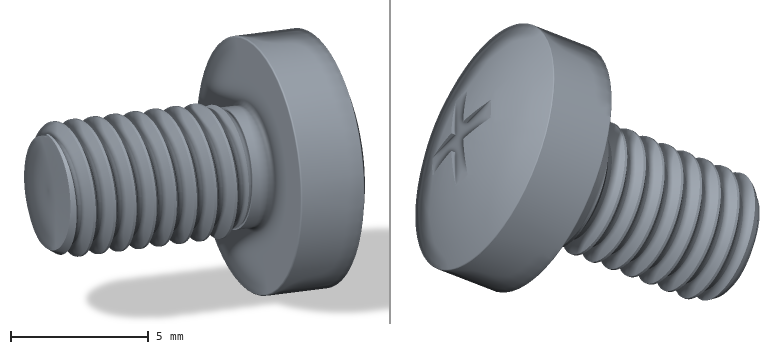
import cadquery as cq
import math

total_length = 11.66
shank_length = 8.0

head_radius = 9.5 / 2
head_height = total_length - shank_length
head_side_height = 2.5
head_edge_radius = 0.06

recess_width = 0.82
recess_depth = 0.19

neck_radius = 2.24
neck_length = 0.82
neck_fillet = 0.17

pitch = shank_length / 10
major_radius = 2.5
root_radius = 2.03
crest_width = pitch / 8
flank_slope = math.tan(math.radians(30))
crest_above_tip = 0.61
end_cone_radius = 2.16
end_cone_slope = 0.65
root_overlap = 0.05
envelope_clearance = 0.06

tip_hollow_radius = 2.06
tip_hollow_depth = 0.07

tip_y = -shank_length
thread_top_y = -neck_length


def revolve_about_axis(profile):
    return profile.close().revolve(360, (0, 0), (0, 1))


def make_head():
    """Round head with a straight side and a spherical dome, both rims rounded."""
    corner_radius = recess_width / math.sqrt(2)
    dome_center_y = (
        corner_radius**2 + head_height**2 - head_radius**2 - head_side_height**2
    ) / (2 * (head_height - head_side_height))
    dome_radius = math.hypot(head_radius, head_side_height - dome_center_y)
    mid_x = head_radius / 2
    mid_y = dome_center_y + math.sqrt(dome_radius**2 - mid_x**2)
    profile = (
        cq.Workplane("XY")
        .lineTo(head_radius, 0)
        .lineTo(head_radius, head_side_height)
        .threePointArc((mid_x, mid_y), (0, dome_center_y + dome_radius))
    )
    return revolve_about_axis(profile).edges("%CIRCLE").fillet(head_edge_radius)


def make_cross_recess():
    """Two crossed slots sunk into the crown of the dome."""
    slot = cq.Workplane("XY").box(2 * head_radius, 2 * recess_depth, recess_width)
    crossing_slot = slot.rotate((0, 0, 0), (0, 1, 0), 90)
    return slot.union(crossing_slot).translate((0, head_height, 0))


def make_core():
    """Neck with its fillet under the head, then the thread core down to the tip."""
    arc_inset = neck_fillet * (1 - math.sqrt(0.5))
    profile = (
        cq.Workplane("XY")
        .lineTo(neck_radius + neck_fillet, 0)
        .threePointArc((neck_radius + arc_inset, -arc_inset), (neck_radius, -neck_fillet))
        .lineTo(neck_radius, thread_top_y)
        .lineTo(root_radius, thread_top_y)
        .lineTo(root_radius, tip_y)
        .lineTo(0, tip_y)
    )
    return revolve_about_axis(profile)


def make_tip_hollow():
    """Shallow cone to be removed from the tip face."""
    profile = (
        cq.Workplane("XY")
        .moveTo(0, tip_y)
        .lineTo(tip_hollow_radius, tip_y)
        .lineTo(0, tip_y + tip_hollow_depth)
    )
    return revolve_about_axis(profile)


def make_thread_envelope():
    """Hollow solid that limits the thread: a tube whose outside tapers at both ends."""
    envelope_radius = major_radius + envelope_clearance
    cone_length = (envelope_radius - end_cone_radius) / end_cone_slope
    inner_radius = root_radius / 2
    profile = (
        cq.Workplane("XY")
        .moveTo(inner_radius, tip_y)
        .lineTo(end_cone_radius, tip_y)
        .lineTo(envelope_radius, tip_y + cone_length)
        .lineTo(envelope_radius, thread_top_y - cone_length)
        .lineTo(end_cone_radius, thread_top_y)
        .lineTo(inner_radius, thread_top_y)
    )
    return revolve_about_axis(profile)


def make_thread_ridge():
    """Helical ridge, run past both ends of the thread so the envelope can trim it."""
    inner_radius = root_radius - root_overlap
    half_crest = crest_width / 2
    half_base = half_crest + (major_radius - inner_radius) * flank_slope
    turns = math.ceil((shank_length - neck_length) / pitch) + 2
    section = [
        (inner_radius, -half_base),
        (major_radius, -half_crest),
        (major_radius, half_crest),
        (inner_radius, half_base),
    ]

    def end_face(height):
        points = [cq.Vector(radius, 0, height + offset) for radius, offset in section]
        return cq.Face.makeFromWires(cq.Wire.makePolygon(points, close=True))

    helices = [
        cq.Wire.makeHelix(pitch, turns * pitch, radius).translate(cq.Vector(0, 0, offset))
        for radius, offset in section
    ]
    faces = [end_face(0), end_face(turns * pitch)]
    for helix, next_helix in zip(helices, helices[1:] + helices[:1]):
        faces += cq.Face.makeRuledSurface(helix, next_helix).Faces()
    ridge = cq.Solid.makeSolid(cq.Shell.makeShell(faces)).fix()

    return (
        cq.Workplane(obj=ridge)
        .rotate((0, 0, 0), (1, 0, 0), -90)
        .rotate((0, 0, 0), (0, 1, 0), -90)
        .translate((0, tip_y + crest_above_tip - pitch, 0))
    )


thread = make_thread_ridge().intersect(make_thread_envelope())
head = make_head().cut(make_cross_recess())
result = head.union(make_core()).union(thread).cut(make_tip_hollow()).solids()